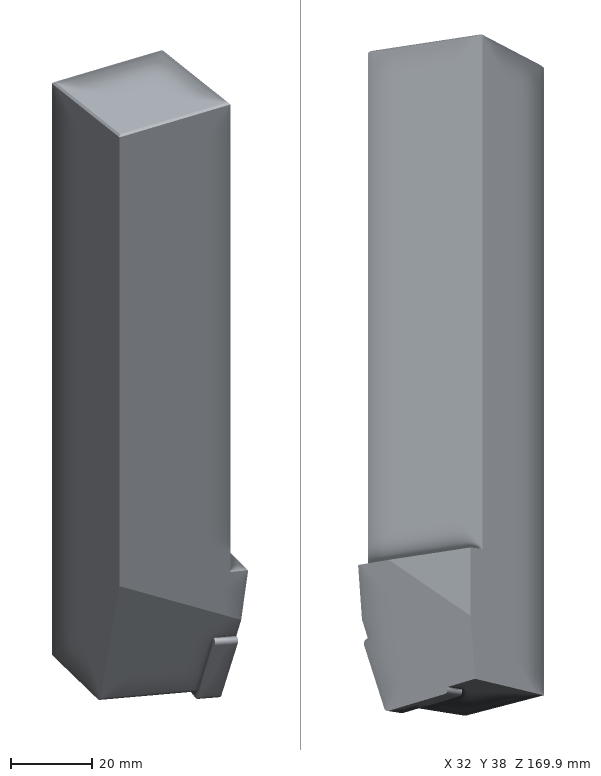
import cadquery as cq
import math

shank = 32.0
top_z = 169.9
shank_chamfer = 0.5
head_depth = 38.0
head_top_z = 36.7
head_shoulder_z = 37.9

end_z = 8.7
end_fall_x = 0.1
end_fall_y = 0.14

side_start_z = 43.1
side_slope_z = 0.25
side_slope_y = 0.14
nose_fillet = 1.2

rake_start_z = 19.2
rake_fall_x = 0.115
rake_rise_z = 0.15

insert_edge = 19.4
insert_angle = 100.0
insert_thickness = 6.3
insert_radius = 1.2
tip_x = 27.0
tip_z = -0.08
edge_slope = 0.083

cutter_size = 339.7

end_normal = cq.Vector(-end_fall_x, -end_fall_y, -1)
side_normal = cq.Vector(1, -side_slope_y, -side_slope_z)
rake_normal = cq.Vector(rake_fall_x, 1, -rake_rise_z)


def rake_y(x, z):
    """Y position of the rake plane at a given X and Z."""
    return head_depth + rake_rise_z * (z - rake_start_z) - rake_fall_x * x


def half_space(point, outward):
    """Large block on the outward side of a plane."""
    plane = cq.Plane(origin=point, normal=outward)
    return cq.Workplane(plane).rect(cutter_size, cutter_size).extrude(cutter_size)


def make_blank():
    """Square shank with a thicker head, before the relief cuts."""
    shank_bar = (
        cq.Workplane("XY")
        .box(shank, shank, top_z, centered=False)
        .faces(">Z")
        .chamfer(shank_chamfer)
    )
    head = (
        cq.Workplane("YZ")
        .moveTo(0, 0)
        .lineTo(head_depth, 0)
        .lineTo(head_depth, head_top_z)
        .lineTo(shank, head_shoulder_z)
        .lineTo(0, head_shoulder_z)
        .close()
        .extrude(shank)
    )
    return shank_bar.union(head)


def make_insert():
    """Rhombic insert lying flush under the rake plane."""
    lower_edge = cq.Vector(-1, rake_fall_x + rake_rise_z * edge_slope, edge_slope)
    tip = cq.Vector(tip_x, rake_y(tip_x, tip_z), tip_z)
    plane = cq.Plane(origin=tip, xDir=lower_edge, normal=rake_normal)
    angle = math.radians(insert_angle)
    side_x = insert_edge * math.cos(angle)
    side_y = insert_edge * math.sin(angle)
    return (
        cq.Workplane(plane)
        .polyline([(0, 0), (insert_edge, 0), (insert_edge + side_x, side_y), (side_x, side_y)])
        .close()
        .extrude(-insert_thickness)
        .edges(cq.selectors.ParallelDirSelector(rake_normal))
        .fillet(insert_radius)
    )


def make_holder(insert):
    """Tool holder with its relief faces, rounded nose, rake face and insert pocket."""
    end_cut = half_space((0, 0, end_z), end_normal)
    side_cut = half_space((shank, 0, side_start_z), side_normal)
    rake_cut = half_space((0, head_depth, rake_start_z), rake_normal)
    nose_edge = cq.selectors.ParallelDirSelector(end_normal.cross(side_normal))
    body = make_blank().cut(end_cut).cut(side_cut)
    body = body.edges(nose_edge).fillet(nose_fillet)
    return body.cut(rake_cut).cut(insert)


insert = make_insert()
holder = make_holder(insert)

result = cq.Compound.makeCompound([holder.val(), insert.val()])